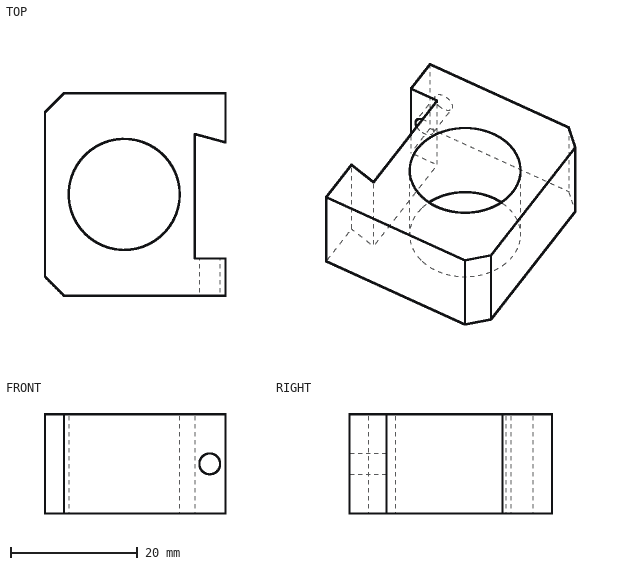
import cadquery as cq

length_x = 28.5
width_y = 32.0
height_z = 15.7
corner_chamfer = 3.0

bore_diameter = 17.5
bore_center_x = 12.5

slot_depth = 4.83
square_jaw_width = 5.9
slot_floor_top_y = 25.5
slot_mouth_top_y = 24.2

screw_diameter = 3.3
screw_inset = 2.5


def make_block():
    block = cq.Workplane("XY").box(length_x, width_y, height_z, centered=False)
    return block.edges("|Z and <X").chamfer(corner_chamfer)


def make_bore():
    return (
        cq.Workplane("XY")
        .center(bore_center_x, width_y / 2)
        .circle(bore_diameter / 2)
        .extrude(height_z)
    )


def make_slot():
    floor_x = length_x - slot_depth
    outline = [
        (length_x, square_jaw_width),
        (floor_x, square_jaw_width),
        (floor_x, slot_floor_top_y),
        (length_x, slot_mouth_top_y),
    ]
    return cq.Workplane("XY").polyline(outline).close().extrude(height_z)


def make_screw_hole():
    return (
        cq.Workplane("XZ")
        .center(length_x - screw_inset, height_z / 2)
        .circle(screw_diameter / 2)
        .extrude(-square_jaw_width)
    )


result = make_block().cut(make_bore()).cut(make_slot()).cut(make_screw_hole())